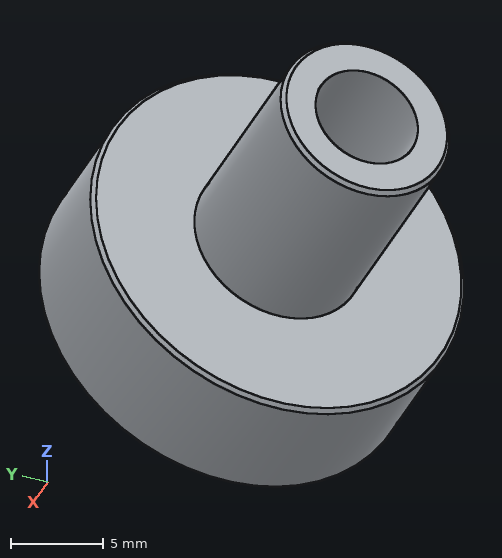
import cadquery as cq

total_length = 20.1
head_diameter = 21.9
head_length = 7.55
shank_diameter = 9.9
bore_diameter = 6.0
edge_chamfer = 0.25

shank_length = total_length - head_length


def chamfered_cylinder(start_x, diameter, length):
    """Cylinder along +X from start_x, chamfered on its -X rim."""
    cylinder = cq.Workplane("YZ", origin=(start_x, 0, 0)).circle(diameter / 2).extrude(length)
    return cylinder.faces("<X").edges().chamfer(edge_chamfer)


shank = chamfered_cylinder(0, shank_diameter, shank_length)
head = chamfered_cylinder(shank_length, head_diameter, head_length)

bore = cq.Workplane("YZ").circle(bore_diameter / 2).extrude(total_length)

result = shank.union(head).cut(bore)